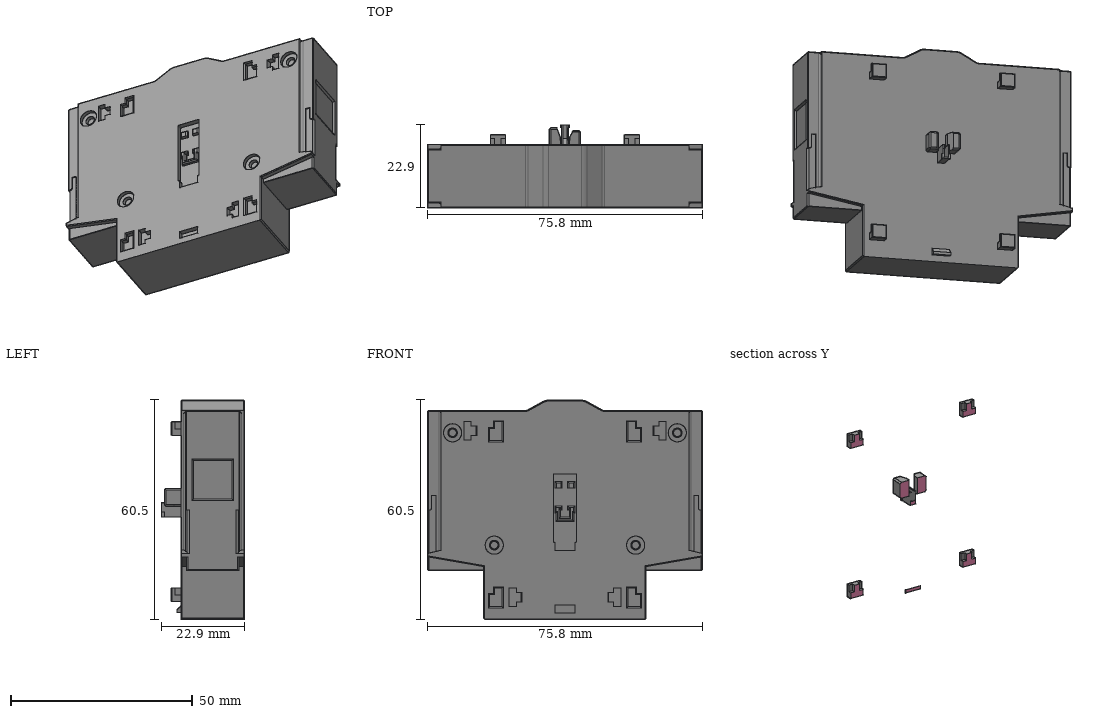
import cadquery as cq
import math


selection_margin = 0.1

depth = 17.5
height = 60.5
shoulder_z = 57.65
wing_half = 37.9
wing_bottom = 13.5
foot_half = 22.4
edge_chamfer = 0.25
foot_corner_chamfer = 0.35

bump_base_half = 10.55
bump_top_half = 5.35
bump_base_radius = 1.5
bump_top_radius = 3.0

step_half = 34.2
step_depth = 1.3
step_root_radius = 0.55
ledge_inner_z = 19.1
ledge_outer_z = 18.2
lip_outer_z = 17.3
lip_inner_z = 14.6
wing_chamfer = 0.25

lower_recess_depth = 1.45
lower_bevel_depth = 0.45

bevel_width = 0.4

notch_inner = 35.57
notch_finger_outer = 36.8
notch_depth = 1.6
notch_bevel_depth = 0.75
notch_corner_radius = 0.5
notch_top = 30.2
finger_top = 34.2

window_size = 11.5
window_z = 38.55
window_recess = 0.5
window_taper = 45

dimple_places = [(-31.0, 51.5), (-19.5, 20.5)]
counterbore_radius = 2.5
counterbore_depth = 1.1
dimple_radius = 1.3
dimple_floor_radius = 1.05
dimple_depth = 0.8

socket_depth = 1.6
t_bar_width = 2.0
t_bar_height = 5.05
t_stem_length = 1.6
t_stem_height = 2.6
t_stem_draft = 0.25
t_places = [(-27.9, 52.1), (-15.42, 6.1)]
l_width = 4.15
l_height = 5.9
l_notch_width = 1.4
l_notch_height = 1.8
l_chamfer_near = 0.25
l_chamfer_far = 0.45
l_places = [(-21.1, 48.9), (-21.1, 3.1)]

slot_half = 2.75
slot_bottom = 1.85
slot_height = 2.2
slot_depth = 1.4
wedge_half = 2.5
wedge_bottom = 1.9
wedge_height = 1.9
wedge_reach = 1.15

pocket_half = 3.2
pocket_tail_half = 2.75
pocket_top = 40.2
pocket_step_z = 21.3
pocket_bottom = 19.0
pocket_depth = 1.45
pocket_corner_radius = 0.25

pad_height = 1.0
pad_inner = 0.75
pad_outer = 2.75
pad_bottom = 36.25
pad_top = 38.1
pad_chamfer = 0.4
u_outer_half = 2.45
u_inner_half = 1.25
u_bottom = 27.05
u_chamfer = 0.35
u_floor_z = 28.2
u_shoulder_z = 29.4
u_lip_z = 30.2
u_top = 31.3

post_inner = 16.35
post_outer = 20.6
post_height = 3.85
post_reach = 2.75
post_neck_width = 1.8
post_neck_reach = 1.6
post_neck_height = 2.0
post_chamfer = 0.2
post_bottoms = [50.75, 4.9]

tower_bottom = 31.2
tower_top = 36.2
tower_inner = 1.29
tower_slope_start = 2.0
tower_tip_inner = 2.25
tower_outer = 4.35
tower_chamfer = 0.45
left_tower_reach = 4.6
right_tower_reach = 3.8
latch_half = 0.95
latch_wall = 0.4
latch_bottom = 28.25
latch_top = 32.2
latch_reach = 5.4
latch_lip_half = 1.22
latch_lip_top = 29.6
latch_lip_thickness = 0.8
latch_ramp_reach = 1.65


def prism(points, y_start, length):
    """Extrudes an XZ outline toward +Y."""
    return cq.Workplane("XZ", origin=(0, y_start, 0)).polyline(points).close().extrude(-length)


def block(x0, x1, y0, y1, z0, z1):
    return cq.Workplane("XY").box(x1 - x0, y1 - y0, z1 - z0, centered=False).translate((x0, y0, z0))


def box_around(low, high):
    """Selects what has its centre between two corners, with a little clearance."""
    start = [value - selection_margin for value in low]
    end = [value + selection_margin for value in high]
    return cq.selectors.BoxSelector(start, end)


def both_sides(shape):
    """Adds the mirror image about X = 0."""
    return shape.union(shape.mirror("YZ"))


def front_and_back(shape):
    """Adds the mirror image about the middle of the depth."""
    return shape.union(shape.mirror("XZ", (0, depth / 2, 0)))


def face_profile():
    """Full-depth body with the bump, the lips over the lower wings and the foot."""
    right = [
        (bump_top_half, height),
        (bump_base_half, shoulder_z),
        (step_half, shoulder_z),
        (step_half, ledge_inner_z),
        (wing_half, ledge_outer_z),
        (wing_half, lip_outer_z),
        (foot_half, lip_inner_z),
        (foot_half, 0),
    ]
    left = [(-x, z) for x, z in reversed(right)]
    body = prism(right + left, 0, depth)
    for x, z, radius in (
        (bump_top_half, height, bump_top_radius),
        (bump_base_half, shoulder_z, bump_base_radius),
    ):
        for side in (-1, 1):
            corner = box_around((side * x, 0, z), (side * x, depth, z))
            body = body.edges("|Y").edges(corner).fillet(radius)
    body = body.edges("|Y").edges("<Z").chamfer(foot_corner_chamfer)
    top_rim = box_around((-step_half, 0, shoulder_z), (step_half, depth, height))
    lower_rim = box_around((-wing_half, 0, foot_corner_chamfer), (wing_half, depth, lip_outer_z))
    return body.faces("<Y or >Y").edges(top_rim + lower_rim).chamfer(edge_chamfer)


def bevel_cutter(recess_depth, bevel_depth, z0, z1):
    """Cutter for the bevel on the wing corner behind a recess in the front face."""
    return (
        cq.Workplane("XY", origin=(0, 0, z0))
        .moveTo(-wing_half, recess_depth)
        .lineTo(-wing_half, recess_depth + bevel_depth)
        .lineTo(-wing_half + bevel_width, recess_depth)
        .close()
        .extrude(z1 - z0)
    )


def lower_recess():
    recess = block(-wing_half, -foot_half, 0, lower_recess_depth, wing_bottom, lip_outer_z)
    return recess.union(bevel_cutter(lower_recess_depth, lower_bevel_depth, wing_bottom, lip_outer_z))


def corner_notch():
    """Front left notch, following the ledge and leaving a chamfered wing corner."""
    outline = [
        (-notch_inner, ledge_outer_z),
        (-notch_inner, finger_top),
        (-notch_finger_outer, finger_top),
        (-notch_finger_outer, notch_top),
        (-wing_half, notch_top),
        (-wing_half, ledge_outer_z),
    ]
    notch = prism(outline, 0, notch_depth)
    inner_corner = box_around((-notch_finger_outer, 0, notch_top), (-notch_finger_outer, depth, notch_top))
    notch = notch.edges("|Y").edges(inner_corner).fillet(notch_corner_radius)
    return notch.union(bevel_cutter(notch_depth, notch_bevel_depth, ledge_outer_z, notch_top))


def wings():
    body = block(-wing_half, wing_half, step_depth, depth - step_depth, wing_bottom, shoulder_z)
    body = body.edges("|Z or >Z or <Z").chamfer(wing_chamfer)
    for cutter in (corner_notch(), lower_recess()):
        body = body.cut(both_sides(front_and_back(cutter)))
    window = (
        cq.Workplane("YZ", origin=(-wing_half, depth / 2, window_z))
        .rect(window_size, window_size)
        .extrude(window_recess, taper=window_taper)
    )
    return body.cut(both_sides(window))


def housing():
    body = face_profile().union(wings())
    for side in (-1, 1):
        for y in (step_depth, depth - step_depth):
            x = side * step_half
            root = box_around((x, y, ledge_inner_z), (x, y, shoulder_z))
            body = body.edges("|Z").edges(root).fillet(step_root_radius)
    return body


def dimple(x, z):
    plane = cq.Workplane("XZ", origin=(x, 0, z))
    bore = plane.circle(counterbore_radius).extrude(-counterbore_depth)
    taper = math.degrees(math.atan2(dimple_radius - dimple_floor_radius, dimple_depth))
    hole = (
        cq.Workplane("XZ", origin=(x, counterbore_depth, z))
        .circle(dimple_radius)
        .extrude(-dimple_depth, taper=taper)
    )
    return bore.union(hole)


def t_socket(x, z):
    bar = block(x, x + t_bar_width, 0, socket_depth, z - t_bar_height / 2, z + t_bar_height / 2)
    stem_end = x + t_bar_width + t_stem_length
    stem = (
        cq.Workplane("XY", origin=(0, 0, z - t_stem_height / 2))
        .polyline([(x, 0), (stem_end, 0), (stem_end - t_stem_draft, socket_depth), (x, socket_depth)])
        .close()
        .extrude(t_stem_height)
    )
    return bar.union(stem)


def l_outline(x, z, near, far):
    """L outline set in by `near` on the notched sides and by `far` on the two long straight sides."""
    right = x + l_width - far
    top = z + l_height - near
    notch_right = x + l_notch_width + near
    return [
        (x + near, z + far),
        (right, z + far),
        (right, top),
        (notch_right, top),
        (notch_right, top - l_notch_height),
        (x + near, top - l_notch_height),
    ]


def l_socket(x, z):
    """L shaped socket with a chamfered mouth."""
    inner_outline = l_outline(x, z, l_chamfer_near, l_chamfer_far)
    mouth = (
        cq.Workplane("XZ")
        .polyline(l_outline(x, z, 0, 0))
        .close()
        .workplane(offset=-l_chamfer_far)
        .polyline(inner_outline)
        .close()
        .loft(ruled=True)
    )
    return mouth.union(prism(inner_outline, 0, socket_depth))


def central_pocket():
    main = block(-pocket_half, pocket_half, 0, pocket_depth, pocket_step_z, pocket_top)
    main = main.edges("|Y").fillet(pocket_corner_radius)
    tail_top = pocket_step_z + pocket_corner_radius
    tail = block(-pocket_tail_half, pocket_tail_half, 0, pocket_depth, pocket_bottom, tail_top)
    return main.union(tail)


def pocket_pads():
    pad = block(-pad_outer, -pad_inner, pocket_depth - pad_height, pocket_depth, pad_bottom, pad_top)
    pad = pad.faces("<Y").edges("|Z or >Z").chamfer(pad_chamfer)
    return both_sides(pad)


def pocket_u():
    right = [
        (u_inner_half, u_floor_z),
        (u_inner_half, u_lip_z),
        (pad_inner, u_lip_z),
        (pad_inner, u_top),
        (pad_outer, u_top),
        (pad_outer, u_shoulder_z),
        (u_outer_half, u_shoulder_z),
        (u_outer_half, u_bottom),
    ]
    left = [(-x, z) for x, z in reversed(right)]
    frame = prism(right + left, pocket_depth - pad_height, pad_height)
    return frame.faces("<Y").edges().chamfer(u_chamfer)


def hooked_post(bottom):
    top = bottom + post_height
    back = depth + post_reach
    post = block(-post_outer, -post_inner, depth, back, bottom, top)
    post = post.faces(">Y").chamfer(post_chamfer)
    centre = -(post_inner + post_outer) / 2
    neck_bottom = top - post_neck_height
    neck_end = depth + post_neck_reach
    for x0, x1 in (
        (-post_outer, centre - post_neck_width / 2),
        (centre + post_neck_width / 2, -post_inner),
    ):
        post = post.cut(block(x0, x1, depth, neck_end, neck_bottom, top))
    return post


def tower(side, reach):
    outline = [
        (side * tower_inner, depth),
        (side * tower_inner, depth + tower_slope_start),
        (side * tower_tip_inner, depth + reach),
        (side * tower_outer, depth + reach),
        (side * tower_outer, depth),
    ]
    body = (
        cq.Workplane("XY", origin=(0, 0, tower_bottom))
        .polyline(outline)
        .close()
        .extrude(tower_top - tower_bottom)
    )
    outer_face = body.faces("<X" if side < 0 else ">X")
    body = outer_face.edges("not <Y").chamfer(tower_chamfer)
    return body.faces(">Y").edges("|X").chamfer(tower_chamfer)


def latch():
    """U channel open upward, with a lip at its tip and a ramp at its root."""
    tip = depth + latch_reach
    inner_half = latch_half - latch_wall
    channel_floor = latch_bottom + latch_wall
    body = block(-latch_half, latch_half, depth, tip, latch_bottom, latch_top)
    lip_start = tip - latch_lip_thickness
    body = body.union(block(-latch_lip_half, latch_lip_half, lip_start, tip, latch_bottom, latch_lip_top))
    body = body.cut(block(-inner_half, inner_half, depth, tip, channel_floor, latch_top))
    ramp = (
        cq.Workplane("YZ", origin=(-inner_half, 0, 0))
        .polyline([
            (depth, channel_floor),
            (depth + latch_ramp_reach, channel_floor),
            (depth, channel_floor + latch_ramp_reach),
        ])
        .close()
        .extrude(2 * inner_half)
    )
    return body.union(ramp)


def wedge():
    outline = [
        (depth, wedge_bottom),
        (depth + wedge_reach, wedge_bottom),
        (depth + wedge_reach, wedge_bottom + wedge_height - wedge_reach),
        (depth, wedge_bottom + wedge_height),
    ]
    return cq.Workplane("YZ", origin=(-wedge_half, 0, 0)).polyline(outline).close().extrude(2 * wedge_half)


result = housing()
for x, z in dimple_places:
    result = result.cut(both_sides(dimple(x, z)))
for x, z in t_places:
    result = result.cut(both_sides(t_socket(x, z)))
for x, z in l_places:
    result = result.cut(both_sides(l_socket(x, z)))
result = result.cut(block(-slot_half, slot_half, 0, slot_depth, slot_bottom, slot_bottom + slot_height))
result = result.cut(central_pocket()).union(pocket_pads()).union(pocket_u())
for bottom in post_bottoms:
    result = result.union(both_sides(hooked_post(bottom)))
result = result.union(tower(-1, left_tower_reach)).union(tower(1, right_tower_reach))
result = result.union(latch()).union(wedge())